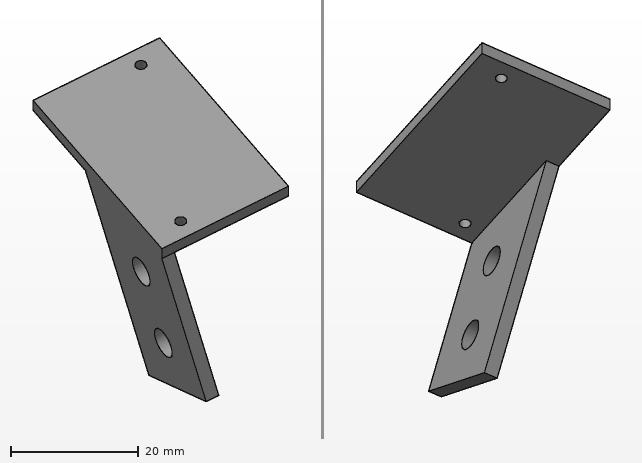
import cadquery as cq
import math

plate_length = 36.95
plate_width = 23.8
thickness = 2.4

overall_length = 49.65
leg_start = 15.0
slope = math.radians(60)
leg_hole_diameter = 5.0
leg_hole_x = 31.05
leg_hole_z = -11.15
leg_hole_spacing = 12.65

screw_hole_diameter = 1.85
screw_hole_places = [(3.15, 18.25), (33.75, 5.6)]


def make_plate():
    plate = cq.Workplane("XY").box(plate_length, plate_width, thickness, centered=False)
    plate = plate.translate((0, 0, -thickness))
    return plate.faces(">Z").workplane(origin=(0, 0, 0)).pushPoints(screw_hole_places).hole(screw_hole_diameter)


def make_leg():
    right_run = overall_length - plate_length
    left_run = right_run + (plate_length - leg_start) * math.cos(slope) ** 2
    end_right = (overall_length, -thickness - right_run * math.tan(slope))
    end_left = (leg_start + left_run, -thickness - left_run * math.tan(slope))
    outline = [(leg_start, -thickness), end_left, end_right, (plate_length, -thickness)]
    second_hole = (
        leg_hole_x + leg_hole_spacing * math.cos(slope),
        leg_hole_z - leg_hole_spacing * math.sin(slope),
    )
    leg = cq.Workplane("XZ").polyline(outline).close().extrude(-thickness)
    holes = (
        cq.Workplane("XZ")
        .pushPoints([(leg_hole_x, leg_hole_z), second_hole])
        .circle(leg_hole_diameter / 2)
        .extrude(-thickness)
    )
    return leg.cut(holes)


result = make_plate().union(make_leg())